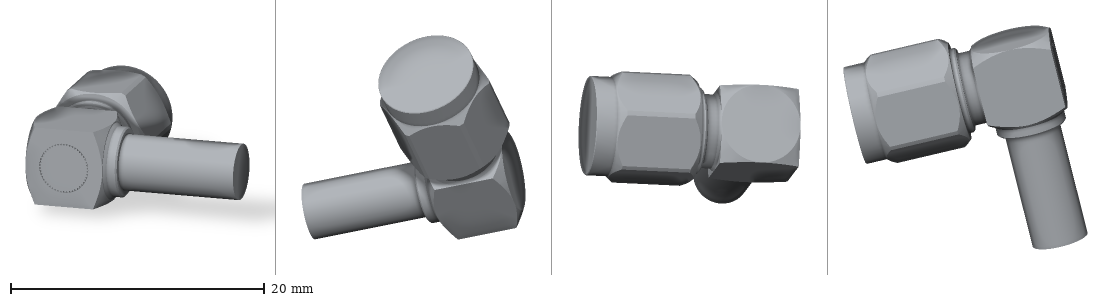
import cadquery as cq
import math


block_side = 6.33
block_half = block_side / 2
block_corner_radius = block_half * math.sqrt(2)
corner_cone_angle = 30
corner_cone_length = (block_corner_radius - block_half) * math.tan(math.radians(corner_cone_angle))

knurl_outer_radius = 2.02
knurl_inner_radius = 1.85
knurl_depth = 0.18
knurl_count = 50
knurl_fill = 0.96

neck_radius = 2.93
neck_flare = 0.2
neck_end = 4.2
collar_radius = 3.42
collar_start = 4.33
collar_chamfer = 0.15
neck_relief = 0.13

nut_across_flats = 8
nut_corner_radius = 4.51
nut_back = 4.84
nut_front = 11.66
nut_cone_length = 0.67
ring_radius = 3.93
overall_length_y = 16.5
ring_end = overall_length_y - block_half
ring_chamfer = 0.05

shoulder_radius = 2.8
shoulder_flare = 0.25
shoulder_start = block_half + shoulder_flare
shoulder_end = 4.22
shoulder_chamfer = 0.13
tube_radius = 2.24
overall_length_x = 18.19
tube_end = overall_length_x - nut_corner_radius


def turned_about_y(profile):
    """Revolve (radius, y) points about the Y axis."""
    return cq.Workplane("XY").polyline(profile).close().revolve(360, (0, 0, 0), (0, 1, 0))


def turned_about_x(profile):
    """Revolve (x, radius) points about the X axis."""
    return cq.Workplane("XY").polyline(profile).close().revolve(360, (0, 0, 0), (1, 0, 0))


def make_block():
    """Cube with the corners of its -X and +X faces turned down to cones."""
    cube = cq.Workplane("XY").box(block_side, block_side, block_side)
    cone_base = block_half - corner_cone_length
    envelope = turned_about_x([
        (-block_half, 0),
        (-block_half, block_half),
        (-cone_base, block_corner_radius),
        (cone_base, block_corner_radius),
        (block_half, block_half),
        (block_half, 0),
    ])
    return cube.intersect(envelope)


def make_neck():
    """Neck that flares into the block and carries the collar behind the nut."""
    return turned_about_y([
        (0, 0),
        (neck_radius + neck_flare, 0),
        (neck_radius + neck_flare, block_half),
        (neck_radius, block_half + neck_flare),
        (neck_radius, neck_end),
        (neck_radius + neck_relief, collar_start),
        (collar_radius - collar_chamfer, collar_start),
        (collar_radius, collar_start + collar_chamfer),
        (collar_radius, nut_back),
        (0, nut_back),
    ])


def make_tube():
    """Cable tube with the stepped shoulder that joins it to the block."""
    return turned_about_x([
        (0, 0),
        (0, shoulder_radius + shoulder_flare),
        (block_half, shoulder_radius + shoulder_flare),
        (shoulder_start, shoulder_radius),
        (shoulder_end - shoulder_chamfer, shoulder_radius),
        (shoulder_end, shoulder_radius - shoulder_chamfer),
        (shoulder_end, tube_radius),
        (tube_end, tube_radius),
        (tube_end, 0),
    ])


def make_knurl_notches():
    """Ring of V notches around the plug, pointing at the plug axis."""
    pitch_angle = 360 / knurl_count
    half_width = knurl_outer_radius * math.sin(math.radians(knurl_fill * pitch_angle / 2))
    notch = (
        cq.Workplane("XZ", origin=(0, -block_half, 0))
        .polyline([
            (knurl_inner_radius, 0),
            (knurl_outer_radius, half_width),
            (knurl_outer_radius, -half_width),
        ])
        .close()
        .extrude(-knurl_depth)
    )
    notches = []
    for index in range(knurl_count):
        angle = (index + 0.5) * pitch_angle
        notches.append(notch.rotate((0, 0, 0), (0, 1, 0), angle).val())
    return cq.Compound.makeCompound(notches)


def make_elbow():
    """Block, neck and tube as one solid."""
    return make_block().union(make_neck()).union(make_tube()).cut(make_knurl_notches())


def make_nut():
    """Hexagon with rounded edges and coned ends, followed by a round front ring."""
    hex_corner_diameter = nut_across_flats / math.cos(math.radians(30))
    hexagon = (
        cq.Workplane("XZ", origin=(0, nut_back, 0))
        .polygon(6, hex_corner_diameter)
        .extrude(nut_back - ring_end)
    )
    envelope = turned_about_y([
        (0, nut_back),
        (ring_radius, nut_back),
        (nut_corner_radius, nut_back + nut_cone_length),
        (nut_corner_radius, nut_front - nut_cone_length),
        (ring_radius, nut_front),
        (ring_radius, ring_end - ring_chamfer),
        (ring_radius - ring_chamfer, ring_end),
        (0, ring_end),
    ])
    return hexagon.intersect(envelope)


elbow = make_elbow()
nut = make_nut()

result = cq.Compound.makeCompound([elbow.val(), nut.val()])